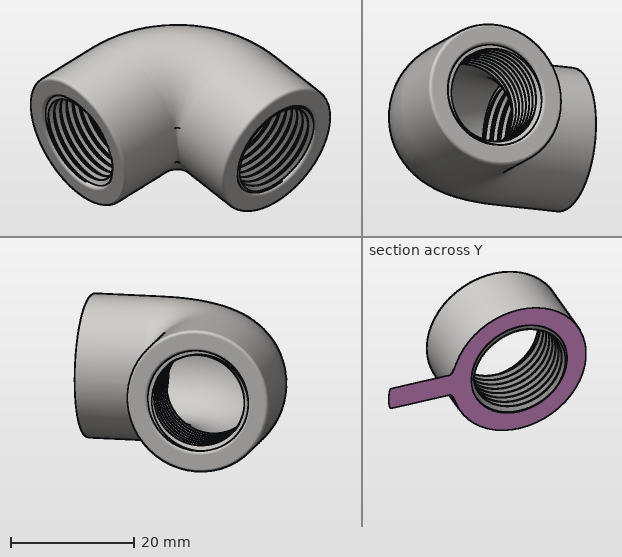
import cadquery as cq
import math

overall_length = 34.75
outer_radius = 23.5 / 2
shank_length = 11.43
bend_radius = overall_length - shank_length - outer_radius
end_fillet = 0.52
crotch_fillet = 0.5

bore_radius = 16.68 / 2

thread_turns = 9
thread_length = 12.02
thread_pitch = thread_length / thread_turns
thread_depth = 0.75
thread_root_width = 1.05
thread_crest_width = 0.17
thread_start = -0.295

leg_planes = [
    cq.Plane(origin=(-bend_radius, -shank_length, 0), xDir=(1, 0, 0), normal=(0, 1, 0)),
    cq.Plane(origin=(shank_length, bend_radius, 0), xDir=(0, 1, 0), normal=(-1, 0, 0)),
]


def place_on_leg(shape, plane):
    """Move a shape built along +Z so that it starts at a leg's open end and points inwards."""
    return cq.Workplane(shape.val().moved(cq.Location(plane)))


def make_bend():
    """Hollow quarter turn whose outer circle is cut off where it would cross the turning axis."""
    half_chord = math.sqrt(outer_radius ** 2 - bend_radius ** 2)
    outside = (
        cq.Workplane("XZ")
        .moveTo(0, half_chord)
        .threePointArc((-bend_radius - outer_radius, 0), (0, -half_chord))
        .close()
        .revolve(90, (0, 0, 0), (0, -1, 0))
    )
    bore = cq.Workplane("XZ").center(-bend_radius, 0).circle(bore_radius)
    return outside.cut(bore.revolve(90, (bend_radius, 0, 0), (bend_radius, -1, 0)))


def make_leg(plane):
    """Straight tube with its outer rim and its bore mouth both rounded."""
    tube = cq.Workplane("XY").circle(outer_radius).circle(bore_radius).extrude(shank_length)
    tube = tube.faces("<Z").edges().fillet(end_fillet)
    return place_on_leg(tube, plane)


def fillet_crotch(body):
    """Replace the block around the inner corner by a filleted mitre of the two leg cylinders."""
    reach = math.sqrt(outer_radius ** 2 - (bend_radius - crotch_fillet) ** 2)
    side = 4 * crotch_fillet
    corner = cq.Workplane("XY").box(side, side, 2 * reach)
    front_leg = cq.Workplane("XZ").center(-bend_radius, 0).circle(outer_radius).extrude(side, both=True)
    side_leg = cq.Workplane("YZ").center(bend_radius, 0).circle(outer_radius).extrude(side, both=True)
    mitre = front_leg.intersect(corner).union(side_leg.intersect(corner))
    seam = cq.selectors.BoxSelector((-crotch_fillet, -crotch_fillet, -reach / 2),
                                    (crotch_fillet, crotch_fillet, reach / 2))
    return body.cut(corner).union(mitre.edges(seam).fillet(crotch_fillet))


def make_elbow():
    body = make_bend()
    for plane in leg_planes:
        body = body.union(make_leg(plane))
    return fillet_crotch(body)


def make_thread(plane):
    """Helical ridge on the bore wall, cut off square at both ends of the straight bore."""
    helix = cq.Wire.makeHelix(thread_pitch, thread_length, bore_radius)
    half_root = thread_root_width / 2
    half_crest = thread_crest_width / 2
    crest_radius = bore_radius - thread_depth
    profile = cq.Workplane("XZ").polyline([
        (bore_radius, -half_root),
        (bore_radius, half_root),
        (crest_radius, half_crest),
        (crest_radius, -half_crest),
    ]).close()
    coil = profile.sweep(cq.Workplane(helix), isFrenet=True).translate((0, 0, thread_start))
    straight_bore = cq.Workplane("XY").workplane(offset=end_fillet)
    straight_bore = straight_bore.circle(outer_radius).extrude(shank_length - end_fillet)
    return place_on_leg(coil.intersect(straight_bore), plane)


elbow = make_elbow()
threads = [make_thread(plane) for plane in leg_planes]

result = cq.Compound.makeCompound([elbow.val(), *[thread.solids().val() for thread in threads]])